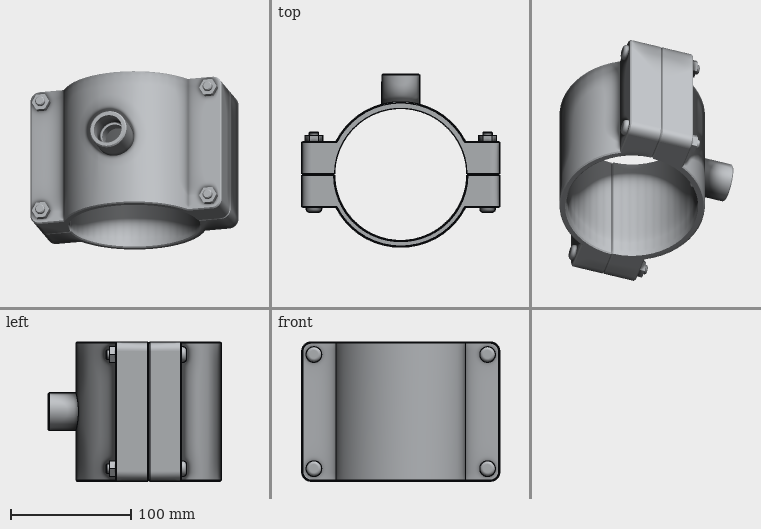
import cadquery as cq
import math

length = 165.0
height = 116.0
ring_diameter = 121.1
bore_diameter = 109.9
flange_thickness = 27.5
corner_radius = 8.0
edge_chamfer = 1.0

depth = 144.2
boss_diameter = 31.7
wall_hole_diameter = 20.0
socket_diameter = 24.1
socket_depth = 18.6

screw_x = 72.3
screw_z = 47.5
screw_diameter = 8.0
screw_protrusion = 8.0
screw_chamfer = 0.8
head_diameter = 13.0
head_height = 4.0
head_round = 3.0
nut_width = 13.0
nut_height = 5.0

ring_radius = ring_diameter / 2
bore_radius = bore_diameter / 2
mid_wall_radius = (ring_radius + bore_radius) / 2
boss_end = depth - ring_radius
nut_corner_diameter = nut_width / math.cos(math.pi / 6)
tolerance = 0.02


def facing_rear(y):
    """Workplane at the given y whose normal points along +Y."""
    return cq.Workplane(cq.Plane(origin=(0, y, 0), xDir=(1, 0, 0), normal=(0, 1, 0)))


def rod_along_y(diameter, y_start, y_end):
    return facing_rear(y_start).circle(diameter / 2).extrude(y_end - y_start)


def rod_along_z(diameter):
    return cq.Workplane("XY").circle(diameter / 2).extrude(height / 2, both=True)


def is_joint_or_flange_rim(edge):
    """Edges on the joint plane or around the outer flange faces, except where a flange meets the ring."""
    box = edge.BoundingBox()
    on_joint = box.ymin > -tolerance
    on_flange_face = box.ymax < tolerance - flange_thickness and box.ylen < tolerance
    meets_ring = box.xlen < tolerance and abs(edge.Center().x) < ring_radius
    return on_joint or (on_flange_face and not meets_ring)


def is_end_arc(edge, radius):
    """Arcs of the given radius on the top and bottom ends."""
    is_flat_arc = edge.geomType() == "CIRCLE" and edge.BoundingBox().zlen < tolerance
    return is_flat_arc and abs(edge.radius() - radius) < tolerance


def clamp_half(chamfered_end_radii):
    """Half ring with two flanges on the -Y side of the joint."""
    flanges = (
        facing_rear(-flange_thickness)
        .rect(length, height)
        .extrude(flange_thickness)
        .edges("|Y")
        .fillet(corner_radius)
    )
    front_space = cq.Workplane("XY").box(length, length, height).translate((0, -length / 2, 0))
    half_ring = rod_along_z(ring_diameter).intersect(front_space)
    half = flanges.union(half_ring).cut(rod_along_z(bore_diameter))
    chamfered = [
        edge
        for edge in half.edges().vals()
        if is_joint_or_flange_rim(edge) or any(is_end_arc(edge, radius) for radius in chamfered_end_radii)
    ]
    return half.newObject(chamfered).chamfer(edge_chamfer)


def add_boss(clamp):
    """Pipe boss with a socket that steps down to a smaller hole through the ring wall."""
    boss = rod_along_y(boss_diameter, mid_wall_radius, boss_end).faces(">Y").chamfer(edge_chamfer)
    wall_hole = rod_along_y(wall_hole_diameter, 0, boss_end)
    socket = rod_along_y(socket_diameter, boss_end - socket_depth, boss_end)
    return clamp.union(boss).cut(wall_hole).cut(socket)


def make_screw():
    """Round-headed screw with its nut; the shank fills the flanges."""
    head_face = -flange_thickness - head_height
    tip_face = flange_thickness + screw_protrusion
    head = rod_along_y(head_diameter, head_face, -flange_thickness).faces("<Y").edges().fillet(head_round)
    shank = rod_along_y(screw_diameter, -flange_thickness, tip_face).faces(">Y").chamfer(screw_chamfer)
    nut = facing_rear(flange_thickness).polygon(6, nut_corner_diameter).extrude(nut_height)
    return head.union(shank).union(nut)


front_half = clamp_half([ring_radius, bore_radius])
rear_half = clamp_half([ring_radius]).mirror("XZ")

result = add_boss(front_half.union(rear_half))
screw = make_screw()
for x in (-screw_x, screw_x):
    for z in (-screw_z, screw_z):
        result = result.union(screw.translate((x, 0, z)))